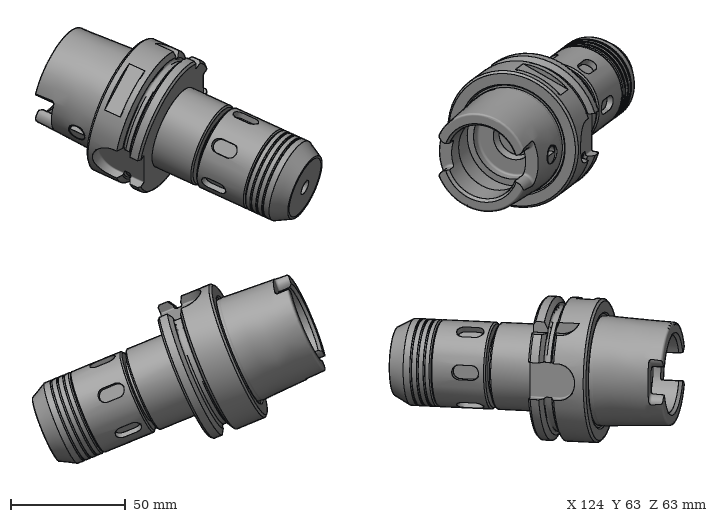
import cadquery as cq
import math

LENGTH = 124.0

FRONT = -1
BACK = 1

TAPER_END = 30.5
TAPER_R = 22.6
TAPER_SLOPE = 0.05
TAPER_ROUND = 1.0
NECK_R = 23.9
BORE_R = 34.0 / 2
BORE_CHAMFER = 1.1
BORE_CHAMFER_LENGTH = 1.5
BORE_LIP_END = 13.3
GRIP_R = 40.0 / 2
GRIP_SLOPE_ANGLE = 60
GRIP_END = 28.5
BORE_FLOOR = 32.9
BORE_FLOOR_R = 16.0
BORE_FLOOR_FILLET = 1.0
SEAT_R = 19.0 / 2
SEAT_FLOOR_R = 17.0 / 2
SEAT_DEPTH = 3.7
COOLANT_R = 6.7 / 2

DRIVE_HALF = 6.2
DRIVE_ROUND_R = 4.2
DRIVE_ROUND_Y = 16.2
DRIVE_CORNER_R = 1.1
DRIVE_FRONT_DEPTH = 9.8
DRIVE_BACK_DEPTH = 6.1

PORT_X = 22.8
PORT_R = 7.5 / 2
PORT_RIM_R = 4.2
PORT_SINK = 0.7
PORT_PAD_Y = 23.1

FLANGE_START = 32.0
FLANGE_END = 58.0
FLANGE_R = 63.0 / 2
FLANGE_CHAMFER = 1.0
RELIEF_R = 25.5
RELIEF_DEPTH = 0.6
GROOVE_R = 27.3
GROOVE_MOUTH = (46.5, 53.2)
GROOVE_WALL = (48.0, 51.6)
GROOVE_WALL_R = 29.0
GROOVE_FILLET = 0.9

KEYWAY_FLOOR = 26.2
KEYWAY_ROUND_X = 45.0
KEYWAY_FRONT_HALF = 9.8
KEYWAY_BACK_HALF = 8.2
KEYWAY_FLOOR_FILLET = 0.6
CHIP_START = 35.7
CHIP_LENGTH = 7.8
CHIP_FLOOR = 29.3
CHIP_ANGLE = 21.5
NOTCH_FLOOR_Y = 19.8
NOTCH_WALL_Z = 19.7
NOTCH_ROUND_R = 8.0
NOTCH_ROUND_X = 44.9

BARREL_R = 38.1 / 2
BARREL_END = 78.2
STEM_R = 28.0 / 2
NUT_START = 80.0
NUT_END = 104.5
EDGE_CHAMFER = 0.7
SEAM_CHAMFER = 0.6
SLOT_COUNT = 6
SLOT_START = 83.0
SLOT_LENGTH = 12.0
SLOT_WIDTH = 6.6
SLOT_FLOOR = 16.0
RING_GROOVE_START = 107.1
RING_GROOVE_WIDTH = 0.7
RING_GROOVE_DEPTH = 0.4
RING_GROOVE_PITCH = 3.0
RING_GROOVE_COUNT = 3
NOSE_START = 116.8
NOSE_R = 15.1


def turned(outline):
    """Revolve a Workplane outline, drawn as (x, radius), about the X axis."""
    return outline.close().revolve(360, (0, 0, 0), (1, 0, 0))


def turned_polygon(points):
    return turned(cq.Workplane("XY").polyline(points))


def milled_from(side, floor_y):
    """XZ sketch plane, with local (x, y) = (X, Z), at the floor of a cut from the -Y or +Y side."""
    return cq.Workplane("XZ", origin=(0, side * floor_y, 0))


def outward(side, depth):
    """Signed extrusion that runs away from the axis, as the XZ plane faces -Y."""
    return -side * depth


def housing_blank():
    taper_end_r = TAPER_R + TAPER_SLOPE * TAPER_END
    relief_floor = FLANGE_START + RELIEF_DEPTH
    outline = (
        cq.Workplane("XY")
        .moveTo(0, 0)
        .lineTo(0, TAPER_R - TAPER_ROUND)
        .radiusArc((TAPER_ROUND, TAPER_R + TAPER_SLOPE * TAPER_ROUND), TAPER_ROUND)
        .lineTo(TAPER_END, taper_end_r)
        .lineTo(TAPER_END + RELIEF_DEPTH, NECK_R)
        .lineTo(relief_floor, NECK_R)
        .lineTo(relief_floor, RELIEF_R - RELIEF_DEPTH)
        .lineTo(FLANGE_START, RELIEF_R)
        .lineTo(FLANGE_START, FLANGE_R - FLANGE_CHAMFER)
        .lineTo(FLANGE_START + FLANGE_CHAMFER, FLANGE_R)
        .lineTo(GROOVE_MOUTH[0], FLANGE_R)
        .lineTo(GROOVE_WALL[0], GROOVE_WALL_R)
        .lineTo(GROOVE_WALL[0], GROOVE_R + GROOVE_FILLET)
        .radiusArc((GROOVE_WALL[0] + GROOVE_FILLET, GROOVE_R), -GROOVE_FILLET)
        .lineTo(GROOVE_WALL[1] - GROOVE_FILLET, GROOVE_R)
        .radiusArc((GROOVE_WALL[1], GROOVE_R + GROOVE_FILLET), -GROOVE_FILLET)
        .lineTo(GROOVE_WALL[1], GROOVE_WALL_R)
        .lineTo(GROOVE_MOUTH[1], FLANGE_R)
        .lineTo(FLANGE_END - FLANGE_CHAMFER, FLANGE_R)
        .lineTo(FLANGE_END, FLANGE_R - FLANGE_CHAMFER)
        .lineTo(FLANGE_END, BARREL_R)
        .lineTo(BARREL_END - EDGE_CHAMFER, BARREL_R)
        .lineTo(BARREL_END, BARREL_R - EDGE_CHAMFER)
        .lineTo(BARREL_END, STEM_R)
        .lineTo(LENGTH, STEM_R)
        .lineTo(LENGTH, 0)
    )
    return turned(outline)


def shank_bore():
    """Bore with a clamping groove behind its lip, coolant seat and through hole."""
    grip_slope_length = (GRIP_R - BORE_R) / math.tan(math.radians(GRIP_SLOPE_ANGLE))
    seat_floor = BORE_FLOOR + SEAT_DEPTH
    outline = (
        cq.Workplane("XY")
        .moveTo(0, 0)
        .lineTo(0, BORE_R + BORE_CHAMFER)
        .lineTo(BORE_CHAMFER_LENGTH, BORE_R)
        .lineTo(BORE_LIP_END, BORE_R)
        .lineTo(BORE_LIP_END + grip_slope_length, GRIP_R)
        .lineTo(GRIP_END, GRIP_R)
        .lineTo(GRIP_END, BORE_FLOOR_R + BORE_FLOOR_FILLET)
        .lineTo(BORE_FLOOR - BORE_FLOOR_FILLET, BORE_FLOOR_R + BORE_FLOOR_FILLET)
        .radiusArc((BORE_FLOOR, BORE_FLOOR_R), BORE_FLOOR_FILLET)
        .lineTo(BORE_FLOOR, SEAT_R)
        .lineTo(seat_floor, SEAT_FLOOR_R)
        .lineTo(seat_floor, COOLANT_R)
        .lineTo(LENGTH, COOLANT_R)
        .lineTo(LENGTH, 0)
    )
    return turned(outline)


def drive_slot(side, depth):
    """Slot through one taper wall; its mouth flares out in a round on both edges."""
    overrun = DRIVE_ROUND_R
    inner_y = BORE_R / 2
    outer_y = FLANGE_R
    flare_y = DRIVE_ROUND_Y + DRIVE_ROUND_R
    flare_z = DRIVE_HALF + DRIVE_ROUND_R
    return (
        cq.Workplane("YZ", origin=(-overrun, 0, 0))
        .moveTo(side * inner_y, -DRIVE_HALF)
        .lineTo(side * DRIVE_ROUND_Y, -DRIVE_HALF)
        .radiusArc((side * flare_y, -flare_z), side * DRIVE_ROUND_R)
        .lineTo(side * outer_y, -flare_z)
        .lineTo(side * outer_y, flare_z)
        .lineTo(side * flare_y, flare_z)
        .radiusArc((side * DRIVE_ROUND_Y, DRIVE_HALF), side * DRIVE_ROUND_R)
        .lineTo(side * inner_y, DRIVE_HALF)
        .close()
        .extrude(overrun + depth)
        .faces(">X")
        .edges()
        .fillet(DRIVE_CORNER_R)
    )


def access_port():
    """Countersunk hole in the -Y wall, open above z = 0 and only spot-faced below."""
    rim_y = TAPER_R + TAPER_SLOPE * PORT_X
    drill = milled_from(FRONT, BORE_R).center(PORT_X, 0).circle(PORT_R).extrude(FLANGE_R - BORE_R)
    sink = (
        milled_from(FRONT, rim_y - PORT_SINK)
        .center(PORT_X, 0)
        .circle(PORT_R)
        .workplane(offset=PORT_SINK)
        .circle(PORT_RIM_R)
        .loft()
    )
    upper_half = cq.Workplane("XY").box(2 * LENGTH, LENGTH, LENGTH, centered=(True, True, False))
    pad = milled_from(FRONT, PORT_PAD_Y).center(PORT_X, 0).circle(PORT_RIM_R).extrude(PORT_RIM_R)
    return drill.union(sink).intersect(upper_half).union(pad)


def keyway(side, half_width):
    """Round-ended keyway milled into the flange from one side, open toward +X."""
    open_end = FLANGE_END + half_width
    slot = (
        milled_from(side, KEYWAY_FLOOR)
        .moveTo(KEYWAY_ROUND_X, -half_width)
        .lineTo(open_end, -half_width)
        .lineTo(open_end, half_width)
        .lineTo(KEYWAY_ROUND_X, half_width)
        .threePointArc((KEYWAY_ROUND_X - half_width, 0), (KEYWAY_ROUND_X, -half_width))
        .close()
        .extrude(outward(side, FLANGE_R - KEYWAY_FLOOR))
    )
    floor = "<Y" if side == BACK else ">Y"
    return slot.faces(floor).edges().fillet(KEYWAY_FLOOR_FILLET)


def chip_flat():
    """Flat-bottomed seat across the flange rim, tilted from +Z toward -Y."""
    return (
        cq.Workplane("XY")
        .box(CHIP_LENGTH, 2 * FLANGE_R, FLANGE_R, centered=(False, True, False))
        .translate((CHIP_START, 0, CHIP_FLOOR))
        .rotate((0, 0, 0), (1, 0, 0), CHIP_ANGLE)
    )


def orientation_notch():
    """Corner notch on the upper back of the flange, with a round start."""
    notch_start = NOTCH_ROUND_X - NOTCH_ROUND_R
    return (
        milled_from(BACK, NOTCH_FLOOR_Y)
        .moveTo(notch_start, FLANGE_R)
        .lineTo(notch_start, NOTCH_WALL_Z + NOTCH_ROUND_R)
        .radiusArc((NOTCH_ROUND_X, NOTCH_WALL_Z), -NOTCH_ROUND_R)
        .lineTo(FLANGE_END, NOTCH_WALL_Z)
        .lineTo(FLANGE_END, FLANGE_R)
        .close()
        .extrude(outward(BACK, FLANGE_R - NOTCH_FLOOR_Y))
    )


def make_housing():
    return (
        housing_blank()
        .cut(shank_bore())
        .cut(drive_slot(FRONT, DRIVE_FRONT_DEPTH))
        .cut(drive_slot(BACK, DRIVE_BACK_DEPTH))
        .cut(access_port())
        .cut(keyway(FRONT, KEYWAY_FRONT_HALF))
        .cut(keyway(BACK, KEYWAY_BACK_HALF))
        .cut(chip_flat())
        .cut(orientation_notch())
    )


def spanner_slot(angle):
    """Blind round-ended slot, cut radially at an angle about X from the -Y side."""
    return (
        milled_from(FRONT, SLOT_FLOOR)
        .center(SLOT_START + SLOT_LENGTH / 2, 0)
        .slot2D(SLOT_LENGTH, SLOT_WIDTH)
        .extrude(outward(FRONT, BARREL_R - SLOT_FLOOR))
        .rotate((0, 0, 0), (1, 0, 0), angle)
    )


def make_nut():
    nut = turned_polygon([
        (NUT_START, STEM_R),
        (NUT_START, BARREL_R - EDGE_CHAMFER),
        (NUT_START + EDGE_CHAMFER, BARREL_R),
        (NUT_END - SEAM_CHAMFER, BARREL_R),
        (NUT_END, BARREL_R - SEAM_CHAMFER),
        (NUT_END, STEM_R),
    ])
    for index in range(SLOT_COUNT):
        nut = nut.cut(spanner_slot(index * 360 / SLOT_COUNT))
    return nut


def make_nose_ring():
    ring = turned_polygon([
        (NUT_END, STEM_R),
        (NUT_END, BARREL_R - SEAM_CHAMFER),
        (NUT_END + SEAM_CHAMFER, BARREL_R),
        (NOSE_START, BARREL_R),
        (LENGTH, NOSE_R),
        (LENGTH, STEM_R),
    ])
    for index in range(RING_GROOVE_COUNT):
        start = RING_GROOVE_START + index * RING_GROOVE_PITCH
        end = start + RING_GROOVE_WIDTH
        floor_r = BARREL_R - RING_GROOVE_DEPTH
        groove = turned_polygon([(start, floor_r), (start, FLANGE_R), (end, FLANGE_R), (end, floor_r)])
        ring = ring.cut(groove)
    return ring


housing = make_housing()
nut = make_nut()
nose_ring = make_nose_ring()

result = cq.Compound.makeCompound([housing.val(), nut.val(), nose_ring.val()])